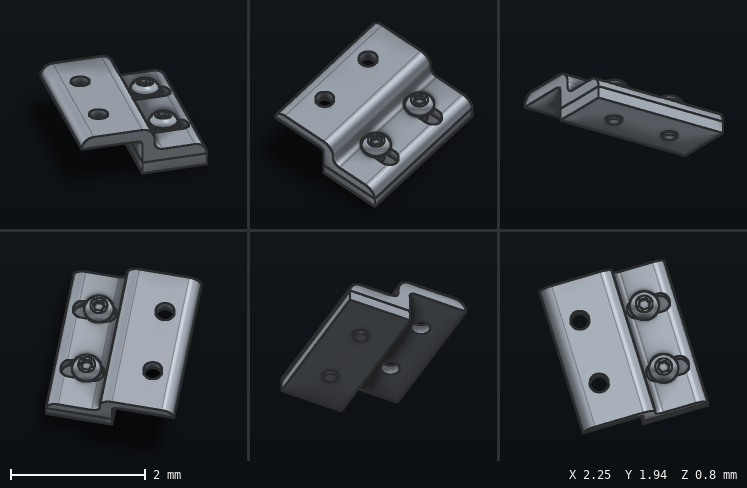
import cadquery as cq
import math

length = 2.25
thickness = 3 / 16
base_depth = 1.0
total_depth = 1.9375
step_height = 0.375

edge_radius = thickness
inner_radius = 1 / 8
under_radius = 5 / 64

hole_spacing = 1.0
hole_diameter = 9 / 32
slot_travel = 0.375
slot_offset = 1 / 16
flange_hole_y = 0.4375

screw_diameter = 1 / 4
screw_length = 0.5
tip_projection = 3 / 64
tip_chamfer = 0.028
head_diameter = 7 / 16
head_height = 0.132
head_rim_height = 0.027
head_flat_diameter = 0.25
socket_across_flats = 5 / 32
socket_depth = 0.08

web_front_y = total_depth - base_depth
web_back_y = web_front_y + thickness
screw_y = web_front_y + base_depth / 2
slot_y = screw_y + slot_offset
lower_top = 2 * thickness
upper_top = lower_top + step_height
upper_bottom = upper_top - thickness
column_xs = [-hole_spacing / 2, hole_spacing / 2]


def make_base_plate():
    """Flat plate with one screw hole per column."""
    plate = cq.Workplane("XY").box(length, base_depth, thickness, centered=(True, False, False))
    plate = plate.translate((0, web_front_y, 0))
    screw_holes = (
        cq.Workplane("XY")
        .pushPoints([(x, screw_y) for x in column_xs])
        .circle(screw_diameter / 2)
        .extrude(thickness)
    )
    return plate.cut(screw_holes)


def make_step_bracket():
    """Z-shaped bracket with slots in the lower flange and holes in the upper."""
    bracket = (
        cq.Workplane("YZ")
        .moveTo(web_front_y, thickness)
        .lineTo(total_depth, thickness)
        .radiusArc((total_depth - edge_radius, lower_top), -edge_radius)
        .lineTo(web_back_y + inner_radius, lower_top)
        .radiusArc((web_back_y, lower_top + inner_radius), inner_radius)
        .lineTo(web_back_y, upper_top - edge_radius)
        .radiusArc((web_back_y - edge_radius, upper_top), -edge_radius)
        .lineTo(edge_radius, upper_top)
        .radiusArc((0, upper_top - edge_radius), -edge_radius)
        .lineTo(web_front_y - under_radius, upper_bottom)
        .radiusArc((web_front_y, upper_bottom - under_radius), under_radius)
        .close()
        .extrude(length / 2, both=True)
    )
    slots = (
        cq.Workplane("XY", origin=(0, 0, thickness))
        .pushPoints([(x, slot_y) for x in column_xs])
        .slot2D(slot_travel + hole_diameter, hole_diameter, 90)
        .extrude(step_height)
    )
    flange_holes = (
        cq.Workplane("XY", origin=(0, 0, upper_bottom))
        .pushPoints([(x, flange_hole_y) for x in column_xs])
        .circle(hole_diameter / 2)
        .extrude(thickness)
    )
    return bracket.cut(slots).cut(flange_holes)


def make_screw(x):
    """Button-head screw standing in the plate, its head clear of the bracket."""
    shank_radius = screw_diameter / 2
    head_radius = head_diameter / 2
    flat_radius = head_flat_diameter / 2
    head_bottom = screw_length - tip_projection
    rim_top = head_bottom + head_rim_height
    head_top = head_bottom + head_height

    dome_rise = head_top - rim_top
    centre_drop = (head_radius**2 - flat_radius**2 - dome_rise**2) / (2 * dome_rise)
    dome_radius = math.hypot(head_radius, centre_drop)

    screw = (
        cq.Workplane("XZ")
        .moveTo(0, -tip_projection)
        .lineTo(shank_radius - tip_chamfer, -tip_projection)
        .lineTo(shank_radius, tip_chamfer - tip_projection)
        .lineTo(shank_radius, head_bottom)
        .lineTo(head_radius, head_bottom)
        .lineTo(head_radius, rim_top)
        .radiusArc((flat_radius, head_top), -dome_radius)
        .lineTo(0, head_top)
        .close()
        .revolve(360, (0, 0), (0, 1))
    )
    socket_corner_diameter = socket_across_flats / math.cos(math.pi / 6)
    socket = (
        cq.Workplane("XY", origin=(0, 0, head_top - socket_depth))
        .transformed(rotate=(0, 0, 90))
        .polygon(6, socket_corner_diameter)
        .extrude(socket_depth)
    )
    return screw.cut(socket).translate((x, screw_y, 0))


base_plate = make_base_plate()
step_bracket = make_step_bracket()
screws = [make_screw(x) for x in column_xs]

result = cq.Compound.makeCompound(
    [base_plate.val(), step_bracket.val(), *[screw.val() for screw in screws]]
)